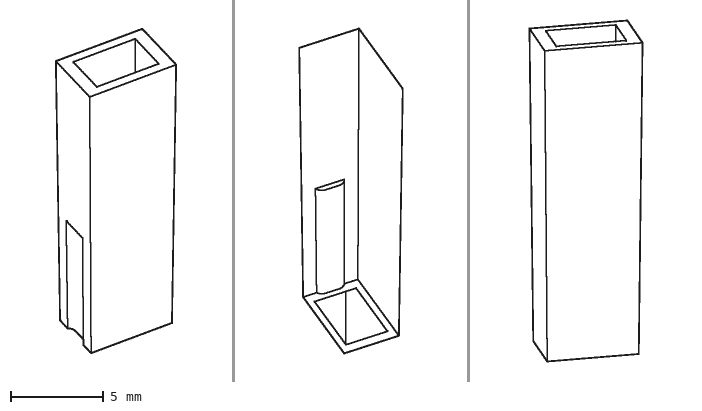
import cadquery as cq
import math

height = 18.0
top_width = 3.6
top_depth = 5.45
bottom_width = 3.3
bottom_depth = 5.1

bore_width = 2.5
bore_depth = 3.9

groove_height = 7.5
groove_floor_width = 0.8
groove_side_radius = 0.5
groove_floor_depth = 0.25


def make_sleeve():
    body = (
        cq.Workplane("XY")
        .rect(bottom_width, bottom_depth)
        .workplane(offset=height)
        .rect(top_width, top_depth)
        .loft(ruled=True)
    )
    bore = cq.Workplane("XY").rect(bore_width, bore_depth).extrude(height)
    return body.cut(bore)


def make_groove_cutter():
    floor_y = groove_floor_depth - bottom_depth / 2
    side_y = floor_y - groove_side_radius
    half_floor = groove_floor_width / 2
    half_groove = half_floor + groove_side_radius
    arc_reach = groove_side_radius * math.sqrt(0.5)
    return (
        cq.Workplane("XY")
        .moveTo(-half_groove, side_y)
        .threePointArc((-half_floor - arc_reach, side_y + arc_reach), (-half_floor, floor_y))
        .lineTo(half_floor, floor_y)
        .threePointArc((half_floor + arc_reach, side_y + arc_reach), (half_groove, side_y))
        .close()
        .extrude(groove_height)
    )


result = make_sleeve().cut(make_groove_cutter())